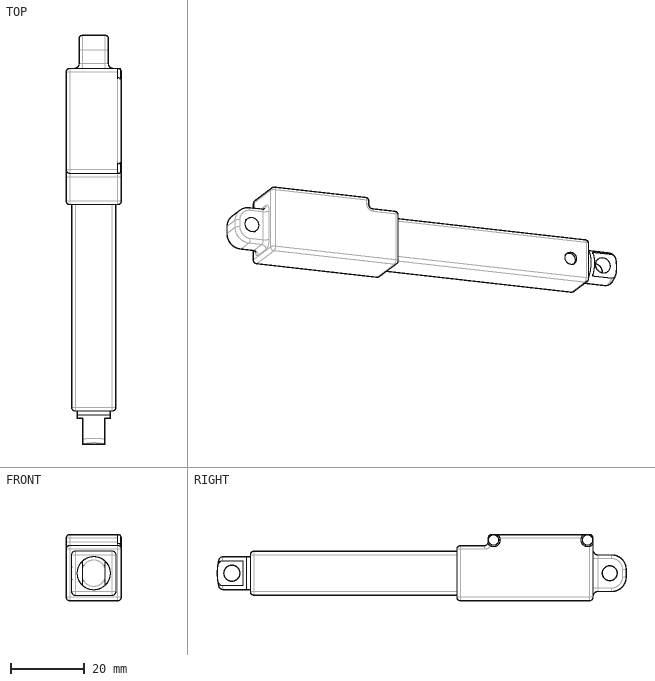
import cadquery as cq


selection_margin = 0.1

gearbox_width = 15.0
gearbox_length = 37.0
raised_height = 3.0
raised_length = 28.5
edge_radius = 1.0
gearbox_bottom = -gearbox_width / 2
gearbox_top = gearbox_width / 2
raised_top = gearbox_top + raised_height
step_y = gearbox_length - raised_length

screw_inset = 1.5
screw_head_diameter = 2.8
screw_bore_diameter = 3.6
screw_bore_depth = 1.0
screw_head_height = 0.7

eye_width = 8.0
eye_height = 10.0
eye_length = 9.0
eye_corner_radius = 4.0
eye_hole_diameter = 4.0
eye_hole_inset = 4.5
eye_root_radius = 1.25

tube_width = 12.0
tube_length = 56.0
tube_front_y = -tube_length
collar_length = 1.0
collar_front_y = tube_front_y - collar_length
side_hole_diameter = 3.4
side_hole_depth = 1.0
side_hole_inset = 5.5

rod_diameter = 9.0
clevis_reach = 9.0
clevis_tip_y = tube_front_y - clevis_reach
clevis_thickness = 6.0
flat_length = 7.0
flat_start_y = clevis_tip_y + flat_length
tip_dome_radius = 15.0
tip_edge_radius = 1.2
clevis_hole_diameter = 4.3
clevis_hole_inset = 4.0


def box_between(width, y_min, y_max, z_min, z_max):
    """Box centred on X = 0 between the given Y and Z limits."""
    box = cq.Workplane("XY").box(width, y_max - y_min, z_max - z_min)
    return box.translate((0, (y_min + y_max) / 2, (z_min + z_max) / 2))


def cross_cylinder(diameter, x_min, x_max, y, z):
    """Cylinder parallel to X at the given Y and Z."""
    return cq.Workplane("YZ", origin=(x_min, 0, 0)).center(y, z).circle(diameter / 2).extrude(x_max - x_min)


def rod_cylinder(y_back, y_front):
    """Round bar of the rod diameter along Y."""
    return cq.Workplane("XZ", origin=(0, y_back, 0)).circle(rod_diameter / 2).extrude(y_back - y_front)


def make_gearbox():
    """Stepped block with every edge rounded."""
    outline = [
        (0, gearbox_bottom),
        (gearbox_length, gearbox_bottom),
        (gearbox_length, raised_top),
        (step_y, raised_top),
        (step_y, gearbox_top),
        (0, gearbox_top),
    ]
    block = cq.Workplane("YZ").polyline(outline).close().extrude(gearbox_width / 2, both=True)
    return block.edges().fillet(edge_radius)


def add_corner_screws(housing):
    """Cut each counterbore, then leave a screw head standing on its floor."""
    screw_z = raised_top - screw_inset
    outer_x = gearbox_width / 2
    floor_x = outer_x - screw_bore_depth
    for screw_y in (step_y + screw_inset, gearbox_length - screw_inset):
        bore = cross_cylinder(screw_bore_diameter, floor_x, outer_x, screw_y, screw_z)
        head = cross_cylinder(screw_head_diameter, floor_x, floor_x + screw_head_height, screw_y, screw_z)
        housing = housing.cut(bore).union(head)
    return housing


def make_eye():
    """Rounded lug, starting just inside the gearbox so that the two join."""
    eye_rear_y = gearbox_length + eye_length
    eye = box_between(eye_width, gearbox_length - edge_radius, eye_rear_y, -eye_height / 2, eye_height / 2)
    eye = eye.edges("|X and >Y").fillet(eye_corner_radius)
    return eye.faces("<X or >X").edges("not <Y").fillet(edge_radius)


def make_tube():
    """Square tube with rounded edges and a shallow blind hole in its -X side."""
    tube = box_between(tube_width, tube_front_y, 0, -tube_width / 2, tube_width / 2)
    tube = tube.edges("|Y or <Y").fillet(edge_radius)
    side_hole = cross_cylinder(
        side_hole_diameter,
        -tube_width / 2,
        side_hole_depth - tube_width / 2,
        tube_front_y + side_hole_inset,
        0,
    )
    return tube.cut(side_hole)


def make_housing():
    """Gearbox, rear eye, tube and front collar as one solid."""
    housing = make_gearbox().union(make_eye())
    root_corner = (
        eye_width / 2 + selection_margin,
        gearbox_length + selection_margin,
        eye_height / 2 + selection_margin,
    )
    opposite_corner = (-root_corner[0], gearbox_length - selection_margin, -root_corner[2])
    housing = housing.edges(cq.selectors.BoxSelector(opposite_corner, root_corner)).fillet(eye_root_radius)
    housing = add_corner_screws(housing)
    eye_hole_y = gearbox_length + eye_length - eye_hole_inset
    housing = housing.cut(cross_cylinder(eye_hole_diameter, -eye_width, eye_width, eye_hole_y, 0))
    return housing.union(make_tube()).union(rod_cylinder(tube_front_y, collar_front_y))


def make_clevis():
    """Round bar with a domed tip, two flats and a cross hole, seated on the collar."""
    bar = rod_cylinder(collar_front_y, clevis_tip_y)
    dome = cross_cylinder(
        2 * tip_dome_radius, -rod_diameter, rod_diameter, clevis_tip_y + tip_dome_radius, 0
    )
    bar = bar.intersect(dome)
    bar = bar.faces("<Y").edges().fillet(tip_edge_radius)
    cheek = box_between(rod_diameter, clevis_tip_y, flat_start_y, -rod_diameter / 2, rod_diameter / 2)
    cheek_offset = (clevis_thickness + rod_diameter) / 2
    for side in (-1, 1):
        bar = bar.cut(cheek.translate((side * cheek_offset, 0, 0)))
    hole_y = clevis_tip_y + clevis_hole_inset
    return bar.cut(cross_cylinder(clevis_hole_diameter, -rod_diameter, rod_diameter, hole_y, 0))


housing = make_housing()
clevis = make_clevis()
result = cq.Compound.makeCompound([housing.val(), clevis.val()])